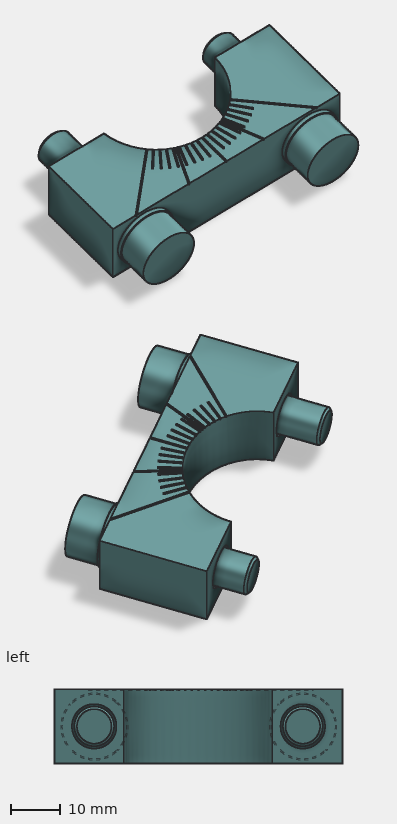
import cadquery as cq

block_width = 58.0
thickness = 15.0
upper_arm_length = 23.0
lower_arm_length = 21.0
bore_radius = 15.0
bore_x = -upper_arm_length

screw_offset = 21.0
shank_diameter = 8.0
shank_reach = 30.0
tip_chamfer = 0.5
clearance_diameter = 9.0
flange_diameter = 13.5
flange_thickness = 1.0
head_diameter = 13.0
head_height = 8.0

mark_width = 0.35
mark_depth = 0.3
minor_mark_radius = 20.0
minor_step = 5
minor_count = 8
major_angles = (-45, -22.5, 0, 22.5, 45)
minor_angles = [side * minor_step * i for side in (-1, 1) for i in range(1, minor_count + 1)]


def cylinder_along_x(diameter, start_x, length, y):
    """Solid cylinder running in +X from start_x, at mid thickness."""
    return cq.Workplane("YZ", origin=(start_x, y, 0)).circle(diameter / 2).extrude(length)


def make_block():
    half_width = block_width / 2
    outline = [
        (0, -half_width),
        (0, half_width),
        (-upper_arm_length, half_width),
        (-upper_arm_length, 0),
        (-lower_arm_length, 0),
        (-lower_arm_length, -half_width),
    ]
    block = cq.Workplane("XY").polyline(outline).close().extrude(thickness / 2, both=True)
    bore = cq.Workplane("XY").center(bore_x, 0).circle(bore_radius).extrude(thickness, both=True)
    return block.cut(bore)


def make_screw(y):
    shank = cylinder_along_x(shank_diameter, -shank_reach, shank_reach, y)
    shank = shank.faces("<X").chamfer(tip_chamfer)
    flange = cylinder_along_x(flange_diameter, 0, flange_thickness, y)
    head = cylinder_along_x(head_diameter, 0, head_height, y)
    return shank.union(flange).union(head)


def make_mark(angle, outer_radius):
    """Radial V-groove cutter from the bore axis out to outer_radius."""
    top_z = thickness / 2
    profile = [(-mark_width / 2, top_z), (mark_width / 2, top_z), (0, top_z - mark_depth)]
    groove = cq.Workplane("YZ").polyline(profile).close().extrude(outer_radius)
    return groove.rotate((0, 0, 0), (0, 0, 1), angle).translate((bore_x, 0, 0))


result = make_block()

for angle in major_angles:
    result = result.cut(make_mark(angle, 2 * upper_arm_length))
for angle in minor_angles:
    result = result.cut(make_mark(angle, minor_mark_radius))

for screw_y in (-screw_offset, screw_offset):
    hole = cylinder_along_x(clearance_diameter, -upper_arm_length, upper_arm_length, screw_y)
    result = result.cut(hole).union(make_screw(screw_y))